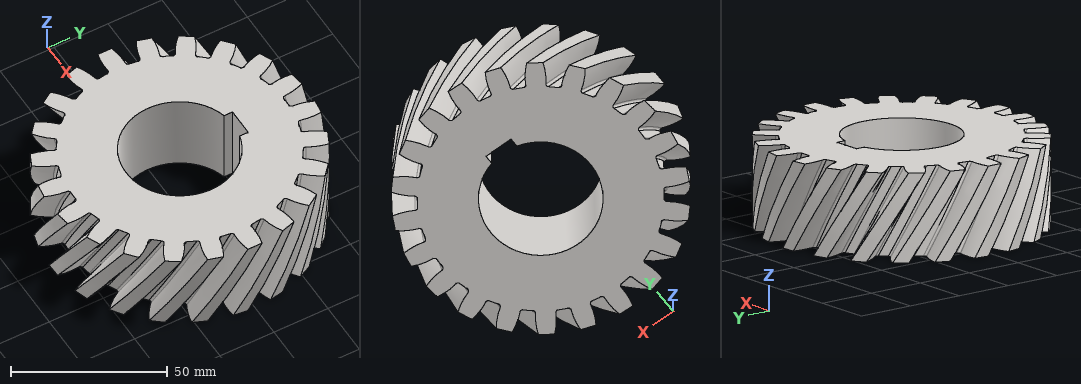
import cadquery as cq
import math

outer_radius = 48.0
face_width = 30.0
tooth_count = 22
helix_angle = 30.0

bore_radius = 20.0
keyway_width = 10.0
keyway_top = 22.5

root_radius = 39.6
root_half_width = 2.5
root_corner_radius = 0.9
pitch_half_width = 3.0
tip_half_width = 4.2

module = 2 * outer_radius / (tooth_count + 2)
pitch_radius = module * tooth_count / 2
pitch_angle = 360 / tooth_count
twist_angle = math.degrees(face_width * math.tan(math.radians(helix_angle)) / pitch_radius)

first_space_angle = 90 - twist_angle


def height_on_circle(radius, half_width):
    """Distance along the space centreline to a circle point at this half width."""
    return math.sqrt(radius**2 - half_width**2)


def turned(along, across, angle):
    """Turn a point given along and across a space centreline to that space's angle."""
    cosine = math.cos(math.radians(angle))
    sine = math.sin(math.radians(angle))
    return (along * cosine - across * sine, along * sine + across * cosine)


def gear_outline():
    """Closed transverse outline of the gear, running counterclockwise."""
    tip = height_on_circle(outer_radius, tip_half_width)
    pitch = height_on_circle(pitch_radius, pitch_half_width)
    corner_top = root_radius + root_corner_radius
    corner_inset = root_corner_radius * (1 - math.sqrt(0.5))
    bend = root_radius + corner_inset
    bend_half_width = root_half_width - corner_inset
    floor_half_width = root_half_width - root_corner_radius

    outline = cq.Workplane("XY").moveTo(*turned(tip, -tip_half_width, first_space_angle))
    for index in range(tooth_count):
        angle = first_space_angle + index * pitch_angle
        tooth_middle = turned(outer_radius, 0, angle + pitch_angle / 2)
        next_tip = turned(tip, -tip_half_width, angle + pitch_angle)

        outline = outline.threePointArc(
            turned(pitch, -pitch_half_width, angle), turned(corner_top, -root_half_width, angle)
        )
        outline = outline.threePointArc(
            turned(bend, -bend_half_width, angle), turned(root_radius, -floor_half_width, angle)
        )
        outline = outline.lineTo(*turned(root_radius, floor_half_width, angle))
        outline = outline.threePointArc(
            turned(bend, bend_half_width, angle), turned(corner_top, root_half_width, angle)
        )
        outline = outline.threePointArc(
            turned(pitch, pitch_half_width, angle), turned(tip, tip_half_width, angle)
        )
        outline = outline.threePointArc(tooth_middle, next_tip)
    return outline.close()


def keyed_bore():
    """Material removed through the hub: round bore plus keyway on +Y."""
    bore = cq.Workplane("XY").circle(bore_radius).extrude(face_width)
    keyway = (
        cq.Workplane("XY")
        .rect(keyway_width, keyway_top)
        .extrude(face_width)
        .translate((0, keyway_top / 2, 0))
    )
    return bore.union(keyway)


toothed_blank = gear_outline().twistExtrude(face_width, twist_angle)
result = toothed_blank.cut(keyed_bore())